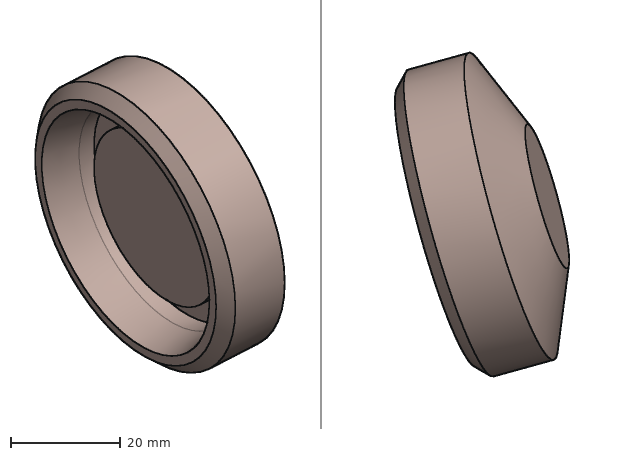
import cadquery as cq

outer_radius = 29.2
total_depth = 21.0
rim_chamfer = 2.5
cone_start = 14.1
back_radius = 13.7

mouth_radius = 24.7
recess_depth = 10.8
floor_radius = 22.9
taper_depth = 7.25

boss_radius = 18.0
boss_face_depth = 6.9


def revolved(points):
    """Revolve a closed (radius, Y) profile around the Y axis."""
    return cq.Workplane("XY").polyline(points).close().revolve(360, (0, 0), (0, 1))


body = revolved([
    (0, 0),
    (outer_radius - rim_chamfer, 0),
    (outer_radius, rim_chamfer),
    (outer_radius, cone_start),
    (back_radius, total_depth),
    (0, total_depth),
])

recess = revolved([
    (0, 0),
    (mouth_radius, 0),
    (floor_radius, taper_depth),
    (floor_radius, recess_depth),
    (boss_radius, recess_depth),
    (boss_radius, boss_face_depth),
    (0, boss_face_depth),
])

result = body.cut(recess)